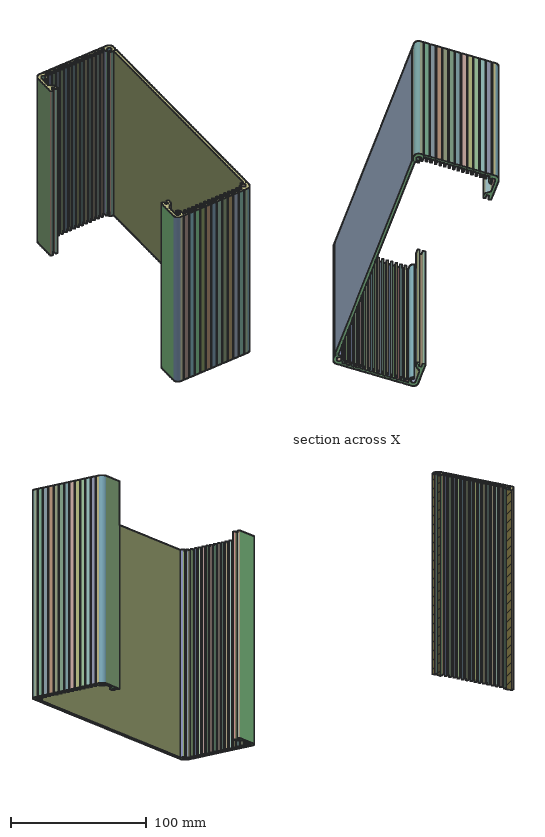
import cadquery as cq

width = 191.0
depth = 66.0
height = 160.0

corner_radius = 3.8
face_wall = 2.5
side_wall = 2.1
lip_reach = 21.0
lip_end_radius = 0.8

rail_height = 6.5
hook_thickness = 2.1
flank_foot = 14.0
flank_top = 17.0
flank_radius = 1.3
neck_end = 18.0
neck_radius = 0.5

channel_x = 4.5
channel_y = 4.2
channel_radius = 1.7
boss_radius = 3.2
back_leg_tip = 5.5
side_leg_tip = 5.7
front_leg_thickness = 2.0
front_leg_gap = 0.2

fin_count = 14
fin_row = 45.6
fin_neck = 1.25
fin_bead_radius = 0.88
fin_reach = 5.0

groove_count = 12
groove_row = 53.1
groove_width = 1.0
groove_depth = 0.29
notch_inset = 7.0
notch_width = 1.1
notch_depth = 0.8

left = -width / 2
front = -depth / 2
back = depth / 2


def block(x_start, x_end, y_start, y_end):
    """Full-height block between two opposite corners of the profile."""
    size_x = x_end - x_start
    size_y = y_end - y_start
    return cq.Workplane("XY").box(size_x, size_y, height, centered=False).translate((x_start, y_start, 0))


def cylinder(x, y, radius):
    """Full-height round bar."""
    return cq.Workplane("XY").moveTo(x, y).circle(radius).extrude(height)


def edges_at(x, y):
    """Selector for the vertical edge through (x, y)."""
    reach = 0.02
    return cq.selectors.BoxSelector((x - reach, y - reach, 0), (x + reach, y + reach, height))


def spread(count, row_length):
    """Evenly spaced positions along a row centred on zero."""
    return [(i / (count - 1) - 0.5) * row_length for i in range(count)]


def outer_shell():
    """Left half of the C-shaped wall with its rounded corners and front lip."""
    shell = block(left, 0, front, back).edges("|Z and <X").fillet(corner_radius)
    shell = shell.cut(block(left + side_wall, 0, front + face_wall, back - face_wall))
    return shell.cut(block(left + lip_reach, 0, front, front + face_wall))


def hooked_rail():
    """Neck with one sloped flank, carrying a hook parallel to the lip."""
    foot = front + face_wall
    top = front + rail_height
    hook_under = top - hook_thickness
    return (
        cq.Workplane("XY")
        .moveTo(left + flank_foot, foot)
        .lineTo(left + flank_top, top)
        .lineTo(left + lip_reach, top)
        .lineTo(left + lip_reach, hook_under)
        .lineTo(left + neck_end, hook_under)
        .lineTo(left + neck_end, foot)
        .close()
        .extrude(height)
    )


def round_lip_and_rail(body):
    """Round the free ends of lip and hook, and blend the neck into both."""
    foot = front + face_wall
    top = front + rail_height
    for y in (front, foot, top - hook_thickness, top):
        body = body.edges(edges_at(left + lip_reach, y)).fillet(lip_end_radius)
    for x, y in ((flank_foot, foot), (flank_top, top)):
        body = body.edges(edges_at(left + x, y)).fillet(flank_radius)
    return body.edges(edges_at(left + neck_end, foot)).fillet(neck_radius)


def back_boss():
    """Screw channel in the back corner, held between two round-tipped legs."""
    x = left + channel_x
    y = back - channel_y
    mid_radius = (channel_radius + boss_radius) / 2
    leg_end = (boss_radius - channel_radius) / 2
    tip_x = left + side_leg_tip
    tip_y = back - back_leg_tip
    boss = (
        cq.Workplane("XY")
        .moveTo(left + side_wall, back - face_wall)
        .lineTo(x + boss_radius, back - face_wall)
        .lineTo(x + boss_radius, tip_y + leg_end)
        .threePointArc((x + mid_radius, tip_y), (x + channel_radius, tip_y + leg_end))
        .lineTo(x + channel_radius, y)
        .lineTo(x, y)
        .lineTo(x, y - channel_radius)
        .lineTo(tip_x - leg_end, y - channel_radius)
        .threePointArc((tip_x, y - mid_radius), (tip_x - leg_end, y - boss_radius))
        .lineTo(left + side_wall, y - boss_radius)
        .close()
        .extrude(height)
    )
    return boss.cut(cylinder(x, y, channel_radius))


def front_boss():
    """Screw channel in the front corner: an arch whose leg ends above the lip."""
    x = left + channel_x
    y = front + channel_y
    outside = cylinder(x, y, boss_radius)
    leg_start = x + boss_radius - front_leg_thickness
    leg = block(leg_start, x + boss_radius, y + front_leg_gap, y + boss_radius)
    arch = outside.cut(block(x, x + boss_radius, y - boss_radius, y + front_leg_gap))
    arch = arch.union(block(left + side_wall, x, front + face_wall, y + boss_radius))
    return arch.cut(cylinder(x, y, channel_radius)).union(leg.intersect(outside))


def fin(y):
    """Fin centred on y: a thin neck carrying a full-round bead along its edge."""
    bead_x = left + fin_reach - fin_bead_radius
    neck = block(left + side_wall, bead_x, y - fin_neck / 2, y + fin_neck / 2)
    return neck.union(cylinder(bead_x, y, fin_bead_radius))


def round_groove(x, y, outward, chord, sink):
    """Cutter for a groove around (x, y); outward is the unit normal of the grooved face."""
    radius = ((chord / 2) ** 2 + sink**2) / (2 * sink)
    offset = radius - sink
    return cylinder(x + outward[0] * offset, y + outward[1] * offset, radius)


half_body = round_lip_and_rail(outer_shell().union(hooked_rail()))
half_body = half_body.union(back_boss()).union(front_boss())
for fin_y in spread(fin_count, fin_row):
    half_body = half_body.union(fin(fin_y))
for groove_y in spread(groove_count, groove_row):
    half_body = half_body.cut(round_groove(left, groove_y, (-1, 0), groove_width, groove_depth))
half_body = half_body.cut(round_groove(left + notch_inset, back, (0, 1), notch_width, notch_depth))

result = half_body.union(half_body.mirror("YZ"))